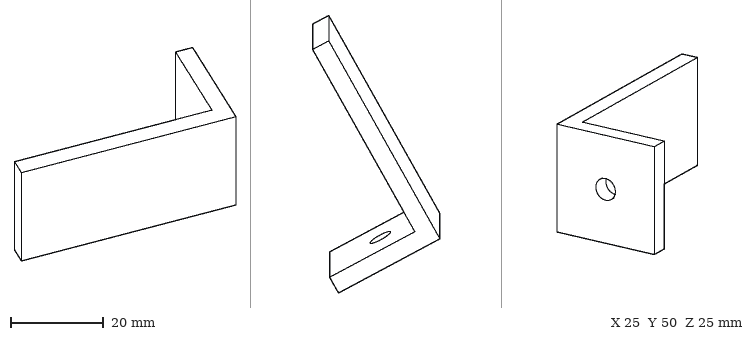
import cadquery as cq

length = 50.0
width = 25.0
height = 25.0
thickness = 4.0
hole_diameter = 5.0


def make_angle():
    """L-shaped profile with its outer corner at +X, +Y, extruded along Z."""
    outline = [
        (width, 0),
        (width, length),
        (0, length),
        (0, length - thickness),
        (width - thickness, length - thickness),
        (width - thickness, 0),
    ]
    return cq.Workplane("XY").polyline(outline).close().extrude(height)


def make_hole_cutter():
    """Cylinder along Y through the middle of the short leg."""
    return (
        cq.Workplane("XZ", origin=(width / 2, length, height / 2))
        .circle(hole_diameter / 2)
        .extrude(thickness)
    )


result = make_angle().cut(make_hole_cutter())